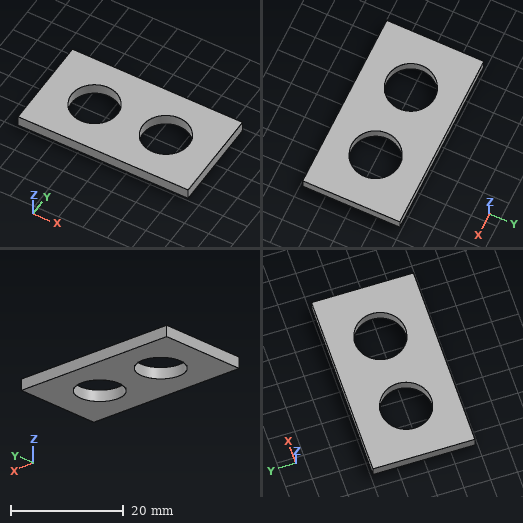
import cadquery as cq

length = 35.05
width = 19.05
thickness = 2.25

hole_diameter = 9.4
hole_spacing = 14.7

plate = cq.Workplane("XY").box(length, width, thickness)

hole_centers = [(side * hole_spacing / 2, 0) for side in (-1, 1)]
result = plate.faces(">Z").workplane().pushPoints(hole_centers).hole(hole_diameter)